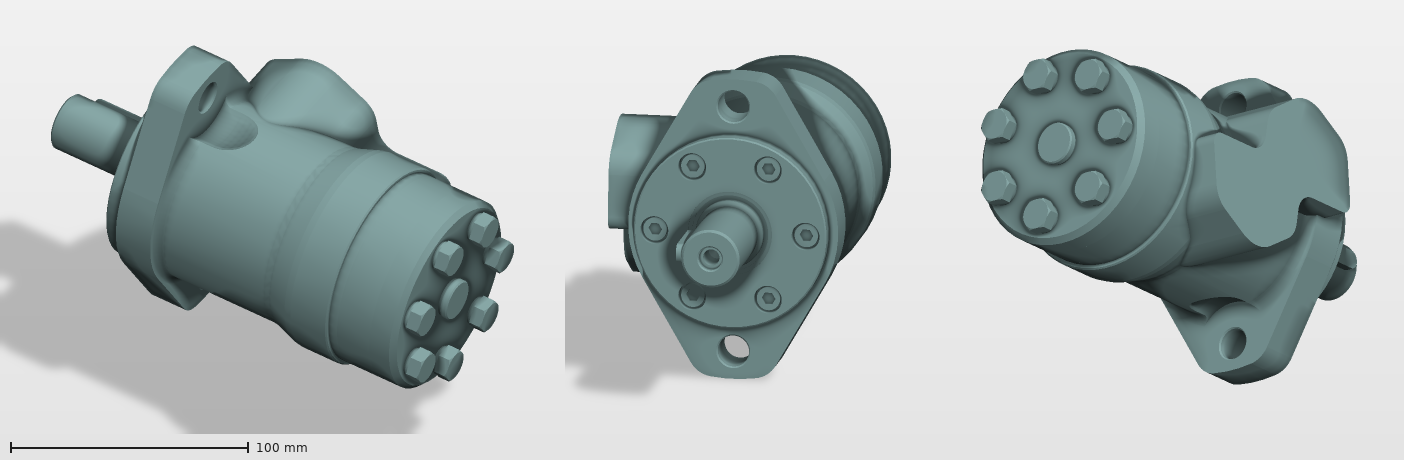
import cadquery as cq
import math


seal_start = 43.0
cover_start = 46.5
flange_start = 54.1
flange_end = 71.3
shoulder_start = 127.0
shoulder_end = 139.8
housing_end = 159.5
plate_end = 163.6
gear_end = 179.8
end_cover_end = 192.0
motor_end = 199.8

shaft_diameter = 25.0
shaft_chamfer = 1.0
seal_lip_diameter = 28.5
seal_diameter = 29.0
seal_taper_length = 1.5
seal_lip_length = 0.5
key_start = 5.0
key_length = 32.0
key_width = 8.0
key_top = 15.5
key_height = 7.0
center_recess_diameter = 10.0
center_recess_depth = 3.0
center_recess_chamfer = 0.5
center_hole_diameter = 7.0
center_hole_depth = 16.0
drill_tip_angle = 118.0

cover_diameter = 82.5
edge_chamfer = 0.5
cover_bore_diameter = 32.5
cover_bore_depth = 1.2
cover_rim_diameter = 36.0
cover_rim_depth = 0.5
screw_count = 6
screw_circle_radius = 32.4
screw_recess_diameter = 12.0
screw_recess_depth = 6.0
screw_head_diameter = 10.0
screw_head_height = 4.4
screw_socket_width = 5.2
screw_socket_depth = 2.4

flange_height = 129.9
flange_side_radius = 45.0
flange_side_angle = 30.0
flange_corner_radius = 11.5
mount_hole_offset = 53.0
mount_hole_diameter = 13.4
mount_hole_chamfer = 0.5
body_radius = 40.5
flange_root_radius = 4.0
rear_radius = 45.0
shoulder_radius = 10.0
relief_radius = 18.4
relief_straight_end = 81.0

port_block_center_x = 109.9
port_block_top = 55.1
lobe_radius = 19.4
lobe_shoulder_radius = 12.4
lobe_root_radius = 10.0
block_corner_radius = 5.4

rear_stack_diameter = 86.0
end_cover_chamfer = 2.4
bolt_count = 7
bolt_circle_radius = 32.2
bolt_hex_width = 13.0
bolt_head_start = 194.0
bolt_neck_diameter = 12.4
bolt_neck_end = 192.8
bolt_washer_diameter = 13.0
bolt_chamfer_height = 0.8
plug_neck_diameter = 17.0
plug_neck_end = 193.4
plug_diameter = 18.0
plug_end = 196.4


def disc(start, end, diameter, y=0.0, z=0.0):
    """Cylinder along X from start to end."""
    return cq.Workplane("YZ", origin=(start, y, z)).circle(diameter / 2).extrude(end - start)


def hexagon(start, end, width, y, z):
    """Hexagonal prism along X with corners toward +Y and -Y."""
    corner_diameter = width / math.cos(math.radians(30))
    return cq.Workplane("YZ", origin=(start, y, z)).polygon(6, corner_diameter).extrude(end - start)


def circle_places(count, radius):
    """Evenly spaced (y, z) places on a circle, the first one on +Y."""
    angles = [2 * math.pi * i / count for i in range(count)]
    return [(radius * math.cos(a), radius * math.sin(a)) for a in angles]


def make_shaft():
    """Shaft with its seal collar, raised key and center hole."""
    radius = shaft_diameter / 2
    seal_radius = seal_diameter / 2
    shaft = (
        cq.Workplane("XY")
        .moveTo(0, 0)
        .lineTo(0, radius - shaft_chamfer)
        .lineTo(shaft_chamfer, radius)
        .lineTo(seal_start, radius)
        .lineTo(seal_start + seal_taper_length, seal_lip_diameter / 2)
        .lineTo(seal_start + seal_taper_length + seal_lip_length, seal_radius)
        .lineTo(flange_start, seal_radius)
        .lineTo(flange_start, 0)
        .close()
        .revolve(360, (0, 0, 0), (1, 0, 0))
    )
    key = (
        cq.Workplane("XZ", origin=(key_start + key_length / 2, key_top, 0))
        .slot2D(key_length, key_width)
        .extrude(key_height)
    )
    tip_length = center_hole_diameter / 2 / math.tan(math.radians(drill_tip_angle / 2))
    center_hole = (
        cq.Workplane("XY")
        .moveTo(0, 0)
        .lineTo(0, center_recess_diameter / 2 + center_recess_chamfer)
        .lineTo(center_recess_chamfer, center_recess_diameter / 2)
        .lineTo(center_recess_depth, center_recess_diameter / 2)
        .lineTo(center_recess_depth, center_hole_diameter / 2)
        .lineTo(center_hole_depth, center_hole_diameter / 2)
        .lineTo(center_hole_depth + tip_length, 0)
        .close()
        .revolve(360, (0, 0, 0), (1, 0, 0))
    )
    return shaft.union(key).cut(center_hole)


def make_front_cover():
    """Pilot disc with a stepped shaft bore and six recessed socket-head screws."""
    cover = disc(cover_start, flange_start, cover_diameter).faces("<X").chamfer(edge_chamfer)
    cover = cover.cut(disc(cover_start, cover_start + cover_rim_depth, cover_rim_diameter))
    cover = cover.cut(disc(cover_start, cover_start + cover_bore_depth, cover_bore_diameter))
    cover = cover.cut(disc(cover_start, flange_start, seal_diameter))
    recess_floor = cover_start + screw_recess_depth
    head_top = recess_floor - screw_head_height
    for y, z in circle_places(screw_count, screw_circle_radius):
        cover = cover.cut(disc(cover_start, recess_floor, screw_recess_diameter, y, z))
        head = disc(head_top, recess_floor, screw_head_diameter, y, z)
        socket = hexagon(head_top, head_top + screw_socket_depth, screw_socket_width, y, z)
        cover = cover.union(head.cut(socket))
    return cover


def flange_outline():
    """Flange outline: round sides, slanted flanks and round ends blended by corner arcs."""
    end_radius = flange_height / 2
    side = math.radians(flange_side_angle)
    corner_center_radius = end_radius - flange_corner_radius
    corner_turn = math.acos((flange_side_radius - flange_corner_radius) / corner_center_radius)
    corner = side + corner_turn
    blend = (side + corner) / 2

    def on_circle(radius, angle):
        return (radius * math.cos(angle), radius * math.sin(angle))

    def on_corner(angle):
        y, z = on_circle(corner_center_radius, corner)
        dy, dz = on_circle(flange_corner_radius, angle)
        return (y + dy, z + dz)

    def across(point, y_sign, z_sign):
        return (y_sign * point[0], z_sign * point[1])

    side_point = on_circle(flange_side_radius, side)
    corner_start = on_corner(side)
    corner_mid = on_corner(blend)
    corner_end = on_circle(end_radius, corner)
    return (
        cq.Workplane("YZ", origin=(flange_start, 0, 0))
        .moveTo(*across(side_point, 1, -1))
        .threePointArc((flange_side_radius, 0), side_point)
        .lineTo(*corner_start)
        .threePointArc(corner_mid, corner_end)
        .threePointArc((0, end_radius), across(corner_end, -1, 1))
        .threePointArc(across(corner_mid, -1, 1), across(corner_start, -1, 1))
        .lineTo(*across(side_point, -1, 1))
        .threePointArc((-flange_side_radius, 0), across(side_point, -1, -1))
        .lineTo(*across(corner_start, -1, -1))
        .threePointArc(across(corner_mid, -1, -1), across(corner_end, -1, -1))
        .threePointArc((0, -end_radius), across(corner_end, 1, -1))
        .threePointArc(across(corner_mid, 1, -1), across(corner_start, 1, -1))
        .close()
    )


def make_barrel():
    """Round housing body with a root fillet at the flange and a blended rear shoulder."""
    root = flange_root_radius
    arc_offset = root * (1 - math.sqrt(0.5))
    barrel = (
        cq.Workplane("XY")
        .moveTo(flange_end, 0)
        .lineTo(flange_end, body_radius + root)
        .threePointArc(
            (flange_end + arc_offset, body_radius + arc_offset),
            (flange_end + root, body_radius),
        )
        .lineTo(shoulder_start, body_radius)
        .lineTo(shoulder_end, rear_radius)
        .lineTo(housing_end - edge_chamfer, rear_radius)
        .lineTo(housing_end, rear_radius - edge_chamfer)
        .lineTo(housing_end, 0)
        .close()
        .revolve(360, (0, 0, 0), (1, 0, 0))
    )
    margin = 1.0
    shoulder_box = cq.selectors.BoxSelector(
        (shoulder_start - margin, -flange_height, -flange_height),
        (shoulder_end + margin, flange_height, flange_height),
        boundingbox=True,
    )
    return barrel.edges("%CIRCLE").edges(shoulder_box).fillet(shoulder_radius)


def make_port_block():
    """Side port block with two staggered lobes, one above and one below the shaft axis."""
    half_outline = [
        (-45.3, 25.2, lobe_shoulder_radius),
        (-17.8, 41.0, lobe_radius),
        (9.2, 25.4, lobe_shoulder_radius),
        (12.8, 5.2, lobe_root_radius),
        (48.1, 5.2, block_corner_radius),
    ]
    outline = half_outline + [(-x, -z, radius) for x, z, radius in half_outline]
    points = [(x + port_block_center_x, z) for x, z, _ in outline]
    block = cq.Workplane("XZ").polyline(points).close().extrude(-port_block_top)
    for (x, z), (_, _, radius) in zip(points, outline):
        corner = cq.selectors.NearestToPointSelector((x, port_block_top / 2, z))
        block = block.edges("|Y").edges(corner).fillet(radius)
    return block


def make_bolt_relief(side):
    """Round-ended clearance behind a mounting hole; side is 1 for top, -1 for bottom."""
    tip = relief_straight_end + relief_radius
    arc_offset = relief_radius * math.sqrt(0.5)
    return (
        cq.Workplane("XY", origin=(0, 0, side * mount_hole_offset))
        .moveTo(flange_end, 0)
        .lineTo(flange_end, relief_radius)
        .lineTo(relief_straight_end, relief_radius)
        .threePointArc((relief_straight_end + arc_offset, arc_offset), (tip, 0))
        .close()
        .revolve(360, (0, 0, 0), (1, 0, 0))
    )


def make_housing():
    """Mounting flange, barrel and port block in one piece."""
    flange = flange_outline().extrude(flange_end - flange_start)
    mount_holes = [(0, mount_hole_offset), (0, -mount_hole_offset)]
    flange = flange.cut(
        cq.Workplane("YZ", origin=(flange_start, 0, 0))
        .pushPoints(mount_holes)
        .circle(mount_hole_diameter / 2)
        .extrude(flange_end - flange_start)
    )
    flange = flange.edges(cq.selectors.RadiusNthSelector(0)).chamfer(mount_hole_chamfer)
    body = make_barrel().union(make_port_block())
    for side in (1, -1):
        body = body.cut(make_bolt_relief(side))
    return flange.union(body)


def make_bolt_head(y, z):
    """Hex bolt head with a washer face, a narrower neck and a chamfered end."""
    neck = disc(end_cover_end, bolt_neck_end, bolt_neck_diameter, y, z)
    washer = disc(bolt_neck_end, bolt_head_start, bolt_washer_diameter, y, z)
    corner_diameter = bolt_hex_width / math.cos(math.radians(30))
    chamfer_width = (corner_diameter - bolt_hex_width) / 2
    envelope = disc(bolt_head_start, motor_end, corner_diameter, y, z)
    envelope = envelope.faces(">X").chamfer(bolt_chamfer_height, chamfer_width)
    head = hexagon(bolt_head_start, motor_end, bolt_hex_width, y, z).intersect(envelope)
    return neck.union(washer).union(head)


def make_end_cover():
    """Rear cover with a central plug and a ring of hex bolt heads."""
    cover = disc(gear_end, end_cover_end, rear_stack_diameter).faces(">X").chamfer(end_cover_chamfer)
    plug = disc(plug_neck_end, plug_end, plug_diameter).faces(">X").chamfer(edge_chamfer)
    cover = cover.union(disc(end_cover_end, plug_neck_end, plug_neck_diameter)).union(plug)
    for y, z in circle_places(bolt_count, bolt_circle_radius):
        cover = cover.union(make_bolt_head(y, z))
    return cover


shaft = make_shaft()
front_cover = make_front_cover()
housing = make_housing()
spacer_plate = disc(housing_end, plate_end, rear_stack_diameter)
gear_set = disc(plate_end, gear_end, rear_stack_diameter)
end_cover = make_end_cover()

result = cq.Compound.makeCompound([
    shaft.val(),
    front_cover.val(),
    housing.val(),
    spacer_plate.val(),
    gear_set.val(),
    end_cover.val(),
])